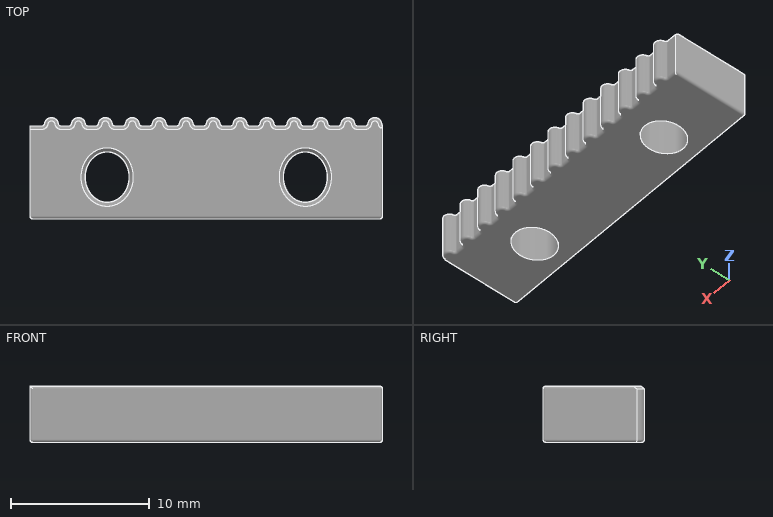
import cadquery as cq
import math

length = 25.4
width = 7.32
height = 4.06
edge_radius = 0.2

tooth_count = 13
tooth_height = 0.6
crest_radius = 0.5
root_radius = 0.2
first_tooth_x = -11.15
last_tooth_x = 12.15
tooth_chamfer_width = 0.25
tooth_chamfer_height = 0.2

hole_spacing = 14.27
hole_y = -0.64
hole_radius_x = 1.57
hole_radius_y = 1.8
rim_width = 0.3

overrun = 1.27
root_margin = 0.03

x_min, x_max = -length / 2, length / 2
y_min, y_max = -width / 2, width / 2
z_min, z_max = -height / 2, height / 2
root_y = y_max - tooth_height
crest_y = y_max - crest_radius
pitch = (last_tooth_x - first_tooth_x) / (tooth_count - 1)

root_rise = root_y + root_radius - crest_y
root_offset = math.sqrt((crest_radius + root_radius) ** 2 - root_rise ** 2)
flank_angle = math.atan2(root_rise, root_offset)
flank_x = crest_radius * math.cos(flank_angle)
flank_y = crest_y + crest_radius * math.sin(flank_angle)
root_mid_angle = (flank_angle + math.pi + 1.5 * math.pi) / 2
root_mid_x = root_offset + root_radius * math.cos(root_mid_angle)
root_mid_y = root_y + root_radius + root_radius * math.sin(root_mid_angle)


def add_tooth(outline, x):
    """Run along the root to the tooth centred at x and over its crest."""
    outline = outline.lineTo(x - root_offset, root_y)
    outline = outline.threePointArc((x - root_mid_x, root_mid_y), (x - flank_x, flank_y))
    outline = outline.threePointArc((x, y_max), (x + flank_x, flank_y))
    return outline.threePointArc((x + root_mid_x, root_mid_y), (x + root_offset, root_y))


def toothed_profile():
    """Plate with the tooth row along +Y, running past the block on its other sides."""
    outline = cq.Workplane("XY").workplane(offset=z_min)
    outline = outline.moveTo(x_min - overrun, y_min - overrun).lineTo(x_min - overrun, root_y)
    for index in range(tooth_count):
        outline = add_tooth(outline, first_tooth_x + index * pitch)
    outline = outline.lineTo(x_max + overrun, root_y).lineTo(x_max + overrun, y_min - overrun)
    plate = outline.close().extrude(height)

    tooth_side = cq.selectors.BoxSelector(
        (x_min - 2 * overrun, root_y - root_margin, z_min - overrun),
        (x_max + 2 * overrun, y_max + overrun, z_max + overrun),
    )
    plate = plate.faces(">Z").edges(tooth_side).chamfer(tooth_chamfer_height, tooth_chamfer_width)
    return plate.faces("<Z").edges(tooth_side).fillet(edge_radius)


def rounded_block():
    """Block with rounded edges, running past the teeth on +Y; its top edge at -X stays sharp."""
    block = cq.Workplane("XY").box(length, width + overrun, height).translate((0, overrun / 2, 0))
    rounded = block.edges("(<Y and |Z) or (<Y and |X) or (>X and >Z) or (|Y and <Z)")
    return rounded.fillet(edge_radius)


def hole_cutter():
    """Straight elliptical bore plus the flared rim."""
    bore = cq.Workplane("XY").workplane(offset=z_min).ellipse(hole_radius_x, hole_radius_y).extrude(height)
    rim = (
        cq.Workplane("XY")
        .workplane(offset=z_max - rim_width)
        .ellipse(hole_radius_x, hole_radius_y)
        .workplane(offset=rim_width)
        .ellipse(hole_radius_x + rim_width, hole_radius_y + rim_width)
        .loft()
    )
    return bore.union(rim)


result = rounded_block().intersect(toothed_profile())
for side in (-1, 1):
    result = result.cut(hole_cutter().translate((side * hole_spacing / 2, hole_y, 0)))